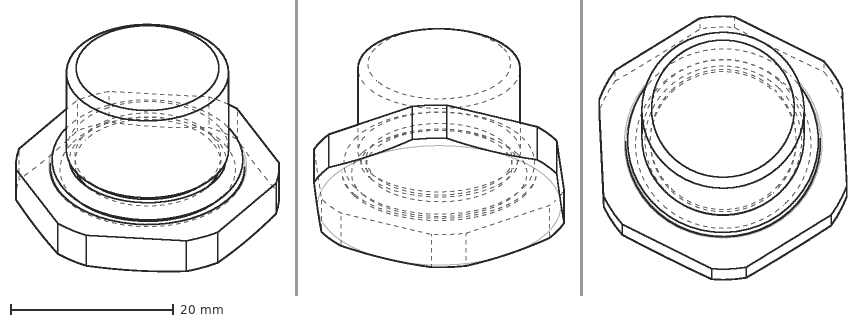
import cadquery as cq
import math

HEAD_FLATS = 30.0
HEAD_CORNERS = 32.47
HEAD_HEIGHT = 5.0
HEAD_CHAMFER_HEIGHT = 0.32

SHANK_DIAMETER = 20.0
TOTAL_HEIGHT = 20.0
TIP_DIAMETER = 17.6
TIP_CHAMFER_ANGLE = 30.0

NECK_DIAMETER = 18.0
UNDERCUT_TOP = HEAD_HEIGHT + 2.53
UNDERCUT_ANGLE = 45.0

RING_OUTER_DIAMETER = 23.5
RING_SECTION_DIAMETER = 2.1

RING_CENTRE_HEIGHT = HEAD_HEIGHT + 0.97

GROOVE_DIAMETER = 24.0
GROOVE_RIM_ROUNDING = 0.2
GROOVE_DEPTH = 0.5
GROOVE_CORNER_RADIUS = 0.2
GROOVE_FLOOR = HEAD_HEIGHT - GROOVE_DEPTH

CONE_FOOT_DIAMETER = 21.63
CONE_ANGLE = 30.0
CONE_RISE = (CONE_FOOT_DIAMETER - NECK_DIAMETER) / 2 * math.tan(math.radians(CONE_ANGLE))
CONE_TOP = GROOVE_FLOOR + CONE_RISE


def revolve_profile(points):
    """Revolve a closed (radius, height) outline around the Z axis."""
    return cq.Workplane("XZ").polyline(points).close().revolve(360, (0, 0), (0, 1))


def make_head():
    """Hexagon with truncated corners and a chamfered lower edge."""
    hexagon = (
        cq.Workplane("XY")
        .polygon(6, HEAD_FLATS, circumscribed=True)
        .extrude(HEAD_HEIGHT)
    )
    envelope = revolve_profile([
        (0, 0),
        (HEAD_FLATS / 2, 0),
        (HEAD_CORNERS / 2, HEAD_CHAMFER_HEIGHT),
        (HEAD_CORNERS / 2, HEAD_HEIGHT),
        (0, HEAD_HEIGHT),
    ])
    return hexagon.intersect(envelope)


def make_groove_cutter():
    """Annular groove: rounded rim, straight wall, rounded floor corner and a cone up to the neck."""
    neck_radius = NECK_DIAMETER / 2
    wall_radius = GROOVE_DIAMETER / 2
    rim_radius = wall_radius + GROOVE_RIM_ROUNDING
    diagonal_offset = 1 - math.sqrt(0.5)
    corner_middle = (
        wall_radius - GROOVE_CORNER_RADIUS * diagonal_offset,
        GROOVE_FLOOR + GROOVE_CORNER_RADIUS * diagonal_offset,
    )
    rim_middle = (
        wall_radius + GROOVE_RIM_ROUNDING * diagonal_offset,
        HEAD_HEIGHT - GROOVE_RIM_ROUNDING * diagonal_offset,
    )
    return (
        cq.Workplane("XZ")
        .moveTo(neck_radius, CONE_TOP)
        .lineTo(CONE_FOOT_DIAMETER / 2, GROOVE_FLOOR)
        .lineTo(wall_radius - GROOVE_CORNER_RADIUS, GROOVE_FLOOR)
        .threePointArc(corner_middle, (wall_radius, GROOVE_FLOOR + GROOVE_CORNER_RADIUS))
        .lineTo(wall_radius, HEAD_HEIGHT - GROOVE_RIM_ROUNDING)
        .threePointArc(rim_middle, (rim_radius, HEAD_HEIGHT))
        .lineTo(rim_radius, CONE_TOP)
        .close()
        .revolve(360, (0, 0), (0, 1))
    )


def make_shank():
    """Solid of revolution: cone, neck, undercut flank, cylinder and chamfered tip."""
    neck_radius = NECK_DIAMETER / 2
    shank_radius = SHANK_DIAMETER / 2
    tip_radius = TIP_DIAMETER / 2
    foot_radius = CONE_FOOT_DIAMETER / 2
    flank_height = (shank_radius - neck_radius) * math.tan(math.radians(UNDERCUT_ANGLE))
    tip_height = (shank_radius - tip_radius) * math.tan(math.radians(TIP_CHAMFER_ANGLE))
    return revolve_profile([
        (0, 0),
        (foot_radius, 0),
        (foot_radius, GROOVE_FLOOR),
        (neck_radius, CONE_TOP),
        (neck_radius, UNDERCUT_TOP - flank_height),
        (shank_radius, UNDERCUT_TOP),
        (shank_radius, TOTAL_HEIGHT - tip_height),
        (tip_radius, TOTAL_HEIGHT),
        (0, TOTAL_HEIGHT),
    ])


def make_plug():
    """Screw plug: head and shank in one piece, with the ring groove cut around the neck."""
    return make_head().union(make_shank()).cut(make_groove_cutter())


def make_sealing_ring():
    """Round-section ring lying in the groove around the neck."""
    section_radius = RING_SECTION_DIAMETER / 2
    centre_radius = RING_OUTER_DIAMETER / 2 - section_radius
    return (
        cq.Workplane("XZ")
        .center(centre_radius, RING_CENTRE_HEIGHT)
        .circle(section_radius)
        .revolve(360, (-centre_radius, 0), (-centre_radius, 1))
    )


plug = make_plug()
sealing_ring = make_sealing_ring()
result = cq.Compound.makeCompound([plug.val(), sealing_ring.val()])